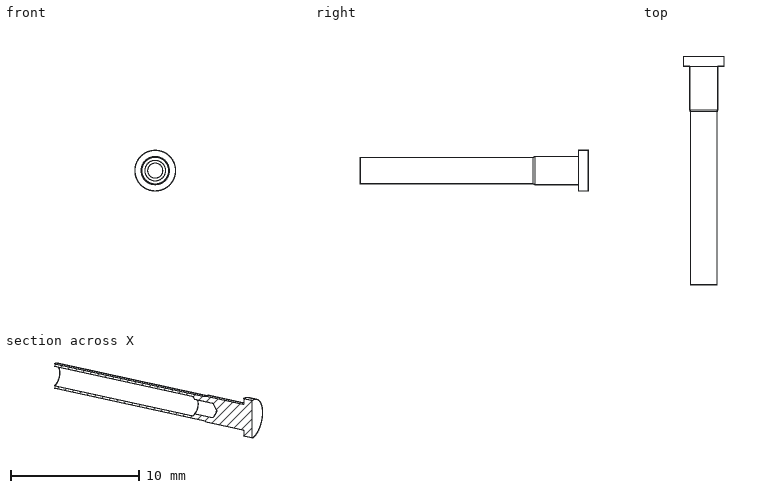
import cadquery as cq
import math

length = 17.78
head_diameter = 3.18
head_thickness = 0.78
shoulder_diameter = 2.2
shoulder_end = 4.16
taper_length = 0.15
tube_diameter = 2.08

bore_diameter = 1.6
bore_depth = 12.45
pilot_diameter = 1.17
pilot_depth = 14.22
drill_point_angle = 118.0
cone_slope = 1 / math.tan(math.radians(drill_point_angle / 2))
shoulder_depth = (bore_diameter - pilot_diameter) / 2 * cone_slope
drill_point_depth = pilot_diameter / 2 * cone_slope

open_end = -length / 2
head_face = length / 2
head_underside = head_face - head_thickness
taper_start = head_face - shoulder_end


def revolve_about_y(points):
    """Revolve a closed (radius, y) outline about the Y axis."""
    return cq.Workplane("XY").polyline(points).close().revolve(360, (0, 0, 0), (0, 1, 0))


body = revolve_about_y([
    (0, open_end),
    (tube_diameter / 2, open_end),
    (tube_diameter / 2, taper_start - taper_length),
    (shoulder_diameter / 2, taper_start),
    (shoulder_diameter / 2, head_underside),
    (head_diameter / 2, head_underside),
    (head_diameter / 2, head_face),
    (0, head_face),
])

bore = revolve_about_y([
    (0, open_end),
    (bore_diameter / 2, open_end),
    (bore_diameter / 2, open_end + bore_depth),
    (pilot_diameter / 2, open_end + bore_depth + shoulder_depth),
    (pilot_diameter / 2, open_end + pilot_depth),
    (0, open_end + pilot_depth + drill_point_depth),
])

result = body.cut(bore)